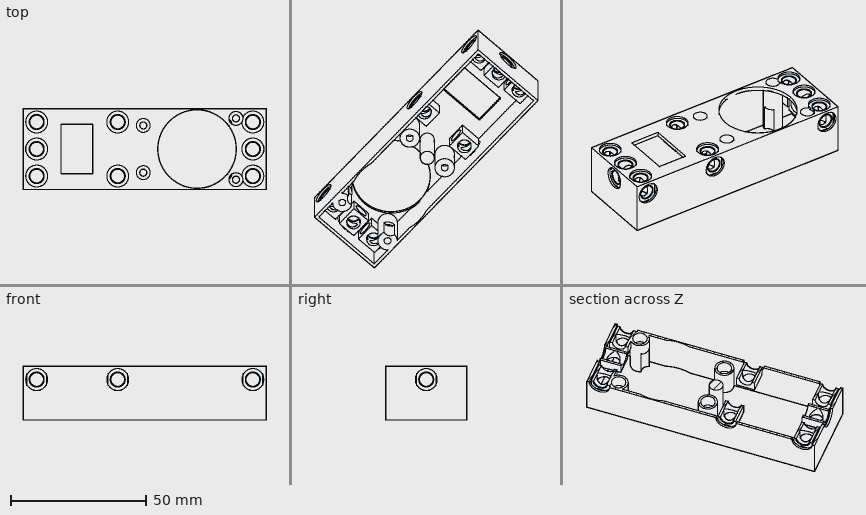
import cadquery as cq

length = 90.0
pitch = length / 9
width = 3 * pitch
height = 2 * pitch
wall = 1.2
top_plate = 1.5

pin_inset = pitch / 2
pin_bore_diameter = 5.0
pin_lip_diameter = 5.6
pin_lip_depth = 0.2
pin_recess_diameter = 8.1
pin_recess_depth = 0.8
pin_depth = pitch
boss_width = 7.2
boss_depth = 8.5
boss_height = 9.0

near_x = pin_inset
middle_x = pin_inset + 3 * pitch
far_x = length - pin_inset
front_y = pin_inset
centre_y = width / 2
back_y = width - pin_inset
pin_z = height - pin_inset

window_x = 19.9
window_length = 11.7
window_width = 18.2

opening_x = 64.35
opening_diameter = 29.0
clearance_stretch = 0.7

near_post_x = 44.5
near_post_offset = 8.7
near_post_bottom = height / 4
far_post_x = 78.75
far_post_offset = 11.3
far_post_bottom = 0.0
post_diameter = 7.2
screw_diameter = 2.5
screw_head_diameter = 5.1
screw_head_depth = height / 2

plain_post_diameter = 5.2
plain_post_bottom = 0.0

groove_x = 74.6
groove_offset = 9.0
groove_diameter = 5.2
groove_height = height / 2

sides = (-1, 1)
side_pins = [(x, y) for x in (near_x, middle_x, far_x) for y in (front_y, back_y)]
end_pins = [(x, centre_y) for x in (near_x, far_x)]
near_screws = [(near_post_x, centre_y + side * near_post_offset) for side in sides]
far_screws = [(far_post_x, centre_y + side * far_post_offset) for side in sides]


def cylinder(start, direction, diameter, depth):
    """Cylinder that begins at a point and runs along a direction."""
    return cq.Workplane(obj=cq.Solid.makeCylinder(
        diameter / 2, depth, cq.Vector(*start), cq.Vector(*direction)))


def post(x, y, diameter, bottom):
    """Upright post that rises from a given level to the top face."""
    return cylinder((x, y, bottom), (0, 0, 1), diameter, height - bottom)


def pin_hole(start, direction):
    """Stepped pin hole cut inward from a point on the outer skin."""
    bore = cylinder(start, direction, pin_bore_diameter, pin_depth)
    lip = cylinder(start, direction, pin_lip_diameter, pin_recess_depth + pin_lip_depth)
    recess = cylinder(start, direction, pin_recess_diameter, pin_recess_depth)
    return bore.union(lip).union(recess)


cavity_height = height - top_plate
shell = cq.Workplane().box(length, width, height, centered=False)
cavity = (
    cq.Workplane()
    .box(length - 2 * wall, width - 2 * wall, cavity_height, centered=False)
    .translate((wall, wall, 0))
)
body = shell.cut(cavity)

boss_centre_z = height - boss_height / 2
for x, y in side_pins:
    boss = cq.Workplane().box(boss_width, boss_depth, boss_height)
    body = body.union(boss.translate((x, y, boss_centre_z)))
for x, y in end_pins:
    boss = cq.Workplane().box(boss_depth, boss_width, boss_height)
    body = body.union(boss.translate((x, y, boss_centre_z)))

window = cq.Workplane().box(window_length, window_width, top_plate)
body = body.cut(window.translate((window_x, centre_y, height - top_plate / 2)))
body = body.cut(cylinder((opening_x, centre_y, 0), (0, 0, 1), opening_diameter, height))

clearance = (
    cq.Workplane()
    .center(opening_x + clearance_stretch / 2, centre_y)
    .slot2D(opening_diameter + clearance_stretch, opening_diameter)
    .extrude(cavity_height)
)
body = body.cut(clearance)

for x, y in near_screws:
    body = body.union(post(x, y, post_diameter, near_post_bottom))
for x, y in far_screws:
    body = body.union(post(x, y, post_diameter, far_post_bottom))
body = body.union(post(near_post_x, centre_y, plain_post_diameter, plain_post_bottom))

for x, y in near_screws + far_screws:
    body = body.cut(cylinder((x, y, 0), (0, 0, 1), screw_diameter, height))
    body = body.cut(cylinder((x, y, height), (0, 0, -1), screw_head_diameter, screw_head_depth))

for side in sides:
    groove_start = (groove_x, centre_y + side * groove_offset, 0)
    body = body.cut(cylinder(groove_start, (0, 0, 1), groove_diameter, groove_height))

for x, y in side_pins + end_pins:
    body = body.cut(pin_hole((x, y, height), (0, 0, -1)))
for x in (near_x, middle_x, far_x):
    body = body.cut(pin_hole((x, 0, pin_z), (0, 1, 0)))
    body = body.cut(pin_hole((x, width, pin_z), (0, -1, 0)))
body = body.cut(pin_hole((0, centre_y, pin_z), (1, 0, 0)))
body = body.cut(pin_hole((length, centre_y, pin_z), (-1, 0, 0)))

result = body